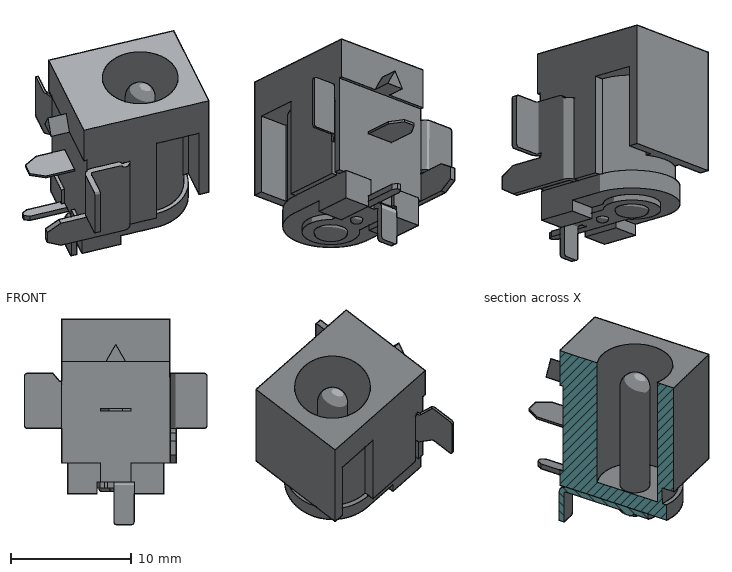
import cadquery as cq
import math


total_height = 17.1
contact_span = 15.2
half_span = contact_span / 2
tail_tip_y = -9.9

half_width = 4.5
collar_front_y = -6.5
collar_height = 3.5
body_front_y = -6.2
body_bottom = -11.97
socket_radius = 3.15
barrel_radius = 3.63
back_slab_bottom = -10.45
side_slot_top = -3.45
side_slot_front_y = -0.1
side_slot_inner_x = 1.81
flange_radius = 4.0
flange_bottom = -13.55
block_inner_x = 1.27
block_back_y = -3.08
block_bottom = -14.52
key_width = 1.6
key_height = 1.4
key_length = 1.6
groove_back_y = -5.3
groove_front_y = -5.65
groove_top = -5.39

side_foot_top = -4.5
side_foot_bottom = -9.08
foot_corner_radius = 0.25
tail_shoulder_y = -8.72
sheet = 0.5
inner_bend = 0.2
outer_bend = inner_bend + sheet
foot_front_y = -6.58
foot_back_y = foot_front_y + sheet
slit_end_y = -5.65

spring_sheet = 0.2
spring_foot_front_y = -6.6
spring_foot_back_y = spring_foot_front_y + spring_sheet
spring_plate_front_y = -5.61
spring_plate_back_y = spring_plate_front_y + spring_sheet
spring_foot_end_x = -5.35
spring_plate_start_x = -4.6
spring_plate_top = -5.16
spring_inner_bend = 0.2
spring_outer_bend = spring_inner_bend + spring_sheet
tongue_width = 2.53
tongue_tip_width = 1.1
tongue_bottom = -7.63

side_plate_inner_x = 4.55
side_plate_outer_x = side_plate_inner_x + sheet
side_stub_end_x = 3.5
side_stub_back_y = -2.45
side_stub_front_y = side_stub_back_y - sheet
side_curve_start_y = -3.54
side_curve_end_y = -2.95
side_stub_top = -4.8
side_slit_fillet = 0.19
side_leg_top = -9.45
side_leg_tip_width = 1.13

pin_radius = 1.25
pin_top = -0.94
disc_radius = 2.4
disc_neck_fillet = 0.3
plate_bottom = flange_bottom - sheet
strap_half_width = 1.54
centre_foot_inner_x = -0.15
centre_tail_width = 0.84
centre_tail_tip_width = 0.35
centre_tail_shoulder_y = -9.45
rivet_height = 0.3
rivet_round = 0.27
pin_rivet_radius = 1.4
peg_rivet_radius = 0.51
peg_rivet_y = -3.25


def block(x_range, y_range, z_range):
    """Box between two limits along each axis."""
    size = [max(r) - min(r) for r in (x_range, y_range, z_range)]
    corner = (min(x_range), min(y_range), min(z_range))
    return cq.Workplane("XY").box(*size, centered=False).translate(corner)


def rod(radius, top, bottom, y=0.0):
    """Vertical cylinder between two heights."""
    return cq.Workplane("XY", origin=(0, y, bottom)).circle(radius).extrude(top - bottom)


def round_edge(body, point, radius):
    """Fillet the edge whose centre is closest to the point."""
    return body.edges(cq.selectors.NearestToPointSelector(point)).fillet(radius)


def tapered_tail(origin, normal, width, tip_width, root_y, shoulder_y, thickness):
    """Flat tail pointing along -Y, straight to its shoulder and then tapered to its tip."""
    plane = cq.Plane(origin=origin, xDir=(0, -1, 0), normal=normal)
    outline = [
        (-root_y, -width / 2),
        (-shoulder_y, -width / 2),
        (-tail_tip_y, -tip_width / 2),
        (-tail_tip_y, tip_width / 2),
        (-shoulder_y, width / 2),
        (-root_y, width / 2),
    ]
    return cq.Workplane(plane).polyline(outline).close().extrude(thickness)


def make_spring_contact():
    """Thin left contact: a stepped plate with a foot outside and a tongue through the front."""
    slope_x = spring_plate_start_x - spring_foot_end_x
    slope_y = spring_plate_front_y - spring_foot_front_y
    slope_length = math.hypot(slope_x, slope_y)
    half_turn = math.atan2(slope_y, slope_x) / 2
    back_shift = spring_sheet * math.tan(half_turn)
    step = [
        (-half_span, spring_foot_front_y),
        (spring_foot_end_x, spring_foot_front_y),
        (spring_plate_start_x, spring_plate_front_y),
        (tongue_width / 2, spring_plate_front_y),
        (tongue_width / 2, spring_plate_back_y),
        (spring_plate_start_x - back_shift, spring_plate_back_y),
        (spring_foot_end_x - back_shift, spring_foot_back_y),
        (-half_span, spring_foot_back_y),
    ]
    height = side_foot_top - side_foot_bottom
    spring = cq.Workplane("XY", origin=(0, 0, side_foot_bottom)).polyline(step).close().extrude(height)

    middle_z = (side_foot_top + side_foot_bottom) / 2
    for corner in (step[1], step[5]):
        spring = round_edge(spring, (*corner, middle_z), spring_outer_bend)
    for corner in (step[2], step[6]):
        spring = round_edge(spring, (*corner, middle_z), spring_inner_bend)

    slope_plane = cq.Plane(
        origin=(*step[1], 0), xDir=(slope_x, slope_y, 0), normal=(slope_y, -slope_x, 0),
    )
    above_plate = [
        (spring_outer_bend * math.tan(half_turn), side_foot_top),
        (slope_length - spring_inner_bend * math.tan(half_turn), spring_plate_top),
        (half_span, spring_plate_top),
        (half_span, side_foot_top),
    ]
    cutter = cq.Workplane(slope_plane).polyline(above_plate).close().extrude(half_span, both=True)
    spring = spring.cut(cutter)

    spring = spring.faces("<X").edges("|Y").fillet(foot_corner_radius)

    tongue = tapered_tail(
        (0, 0, tongue_bottom), (0, 0, 1), tongue_width, tongue_tip_width,
        spring_plate_back_y, tail_shoulder_y, spring_sheet,
    )
    return spring.union(tongue)


def make_side_contact():
    """Heavy right contact: a stub in the housing, a plate along its side, a foot and a leg."""
    section = [
        (side_stub_end_x, side_stub_back_y),
        (side_plate_outer_x, side_stub_back_y),
        (side_plate_outer_x, foot_back_y),
        (half_span, foot_back_y),
        (half_span, foot_front_y),
        (side_plate_inner_x, foot_front_y),
        (side_plate_inner_x, side_stub_front_y),
        (side_stub_end_x, side_stub_front_y),
    ]
    height = side_foot_top - body_bottom
    contact = cq.Workplane("XY", origin=(0, 0, body_bottom)).polyline(section).close().extrude(height)

    middle_z = (side_foot_top + body_bottom) / 2
    for corner in (section[1], section[5]):
        contact = round_edge(contact, (*corner, middle_z), outer_bend)
    for corner in (section[2], section[6]):
        contact = round_edge(contact, (*corner, middle_z), inner_bend)

    run = side_curve_end_y - side_curve_start_y
    drop = side_foot_top - side_stub_top
    curve_radius = run / (2 * math.sin(2 * math.atan2(drop, run)))
    above_stub = (
        cq.Workplane("YZ")
        .moveTo(side_curve_start_y, side_foot_top)
        .radiusArc((side_curve_start_y + run / 2, side_foot_top - drop / 2), curve_radius)
        .radiusArc((side_curve_end_y, side_stub_top), -curve_radius)
        .lineTo(0, side_stub_top)
        .lineTo(0, side_foot_top)
        .close()
        .extrude(half_span)
    )
    contact = contact.cut(above_stub)

    below_foot = block((0, half_span), (slit_end_y, foot_front_y), (body_bottom, side_foot_bottom))
    contact = contact.cut(below_foot)

    contact = contact.faces(">X").edges("|Y").fillet(foot_corner_radius)

    leg = tapered_tail(
        (side_plate_inner_x, 0, (side_leg_top + body_bottom) / 2), (1, 0, 0),
        side_leg_top - body_bottom, side_leg_tip_width, slit_end_y, tail_shoulder_y, sheet,
    )
    contact = contact.union(leg)

    plate_middle_x = side_plate_inner_x + sheet / 2
    return round_edge(contact, (plate_middle_x, slit_end_y, side_leg_top), side_slit_fillet)


def make_rivet(radius, y):
    """Round-edged head below the bottom plate."""
    head = rod(radius, plate_bottom, plate_bottom - rivet_height, y)
    return head.faces("<Z").edges().fillet(rivet_round)


def make_centre_contact():
    """Centre pin with a bottom plate that ends in a bent-down foot and a straight tail."""
    pin = rod(pin_radius, pin_top - pin_radius, flange_bottom)
    dome = cq.Workplane("XY").sphere(pin_radius).translate((0, 0, pin_top - pin_radius))
    strap_range = (-strap_half_width, strap_half_width)
    plate = rod(disc_radius, flange_bottom, plate_bottom)
    plate = plate.union(block(strap_range, (0, slit_end_y), (plate_bottom, flange_bottom)))
    neck_y = -math.sqrt(disc_radius ** 2 - strap_half_width ** 2)
    for neck_x in strap_range:
        plate = round_edge(plate, (neck_x, neck_y, flange_bottom - sheet / 2), disc_neck_fillet)

    bent_strip = [
        (slit_end_y, flange_bottom),
        (foot_front_y, flange_bottom),
        (foot_front_y, -total_height),
        (foot_back_y, -total_height),
        (foot_back_y, plate_bottom),
        (slit_end_y, plate_bottom),
    ]
    foot_width = strap_half_width - centre_foot_inner_x
    foot = cq.Workplane("YZ", origin=(centre_foot_inner_x, 0, 0)).polyline(bent_strip).close()
    foot = foot.extrude(foot_width)
    foot_middle_x = centre_foot_inner_x + foot_width / 2
    foot = round_edge(foot, (foot_middle_x, *bent_strip[1]), outer_bend)
    foot = round_edge(foot, (foot_middle_x, *bent_strip[4]), inner_bend)
    foot = foot.faces("<Z").edges("|Y").fillet(foot_corner_radius)

    tail_middle_x = -strap_half_width + centre_tail_width / 2
    tail = tapered_tail(
        (tail_middle_x, 0, plate_bottom), (0, 0, 1), centre_tail_width, centre_tail_tip_width,
        slit_end_y, centre_tail_shoulder_y, sheet,
    )

    contact = pin.union(dome).union(plate).union(foot).union(tail)
    contact = contact.union(make_rivet(pin_rivet_radius, 0.0))
    return contact.union(make_rivet(peg_rivet_radius, peg_rivet_y))


def make_barrel_clearance():
    """Space around the barrel: slots in both sides, and everything behind it below the back slab."""
    slot_y = (side_slot_front_y, barrel_radius)
    width_range = (-half_width, half_width)
    clearance = block(width_range, (side_slot_front_y, half_width), (body_bottom, back_slab_bottom))
    for side in (-1, 1):
        slot_x = (side * side_slot_inner_x, side * half_width)
        clearance = clearance.union(block(slot_x, slot_y, (body_bottom, side_slot_top)))
    barrel = rod(barrel_radius, 0, body_bottom)
    barrel_front = block((-barrel_radius, barrel_radius), (side_slot_front_y, 0), (body_bottom, 0))
    return clearance.cut(barrel).cut(barrel_front)


def make_housing():
    """Moulded body with collar, barrel, flange, front blocks and locating key."""
    width_range = (-half_width, half_width)
    collar = block(width_range, (collar_front_y, half_width), (-collar_height, 0))
    body = block(width_range, (body_front_y, half_width), (body_bottom, -collar_height))
    housing = collar.union(body).cut(make_barrel_clearance())

    flange_range = (-flange_radius, flange_radius)
    housing = housing.union(rod(flange_radius, body_bottom, flange_bottom))
    housing = housing.union(block(flange_range, (body_front_y, 0), (flange_bottom, body_bottom)))

    for side in (-1, 1):
        block_x = (side * block_inner_x, side * flange_radius)
        front_block = block(block_x, (collar_front_y, block_back_y), (block_bottom, body_bottom))
        housing = housing.union(front_block)
    strap_range = (-strap_half_width, strap_half_width)
    housing = housing.cut(block(strap_range, (collar_front_y, block_back_y), (block_bottom, flange_bottom)))

    key_outline = [
        (-key_width / 2, -collar_height),
        (key_width / 2, -collar_height),
        (0, key_height - collar_height),
    ]
    key = cq.Workplane("XZ", origin=(0, collar_front_y, 0)).polyline(key_outline).close()
    housing = housing.union(key.extrude(key_length))

    groove_x = (-half_width, -flange_radius)
    housing = housing.cut(block(groove_x, (groove_back_y, groove_front_y), (body_bottom, groove_top)))

    return housing.cut(rod(socket_radius, 0, body_bottom))


spring_contact = make_spring_contact()
side_contact = make_side_contact()
centre_contact = make_centre_contact()

housing = make_housing().cut(spring_contact).cut(side_contact).cut(centre_contact)

result = cq.Compound.makeCompound([
    *housing.solids().vals(),
    *spring_contact.solids().vals(),
    *side_contact.solids().vals(),
    *centre_contact.solids().vals(),
])